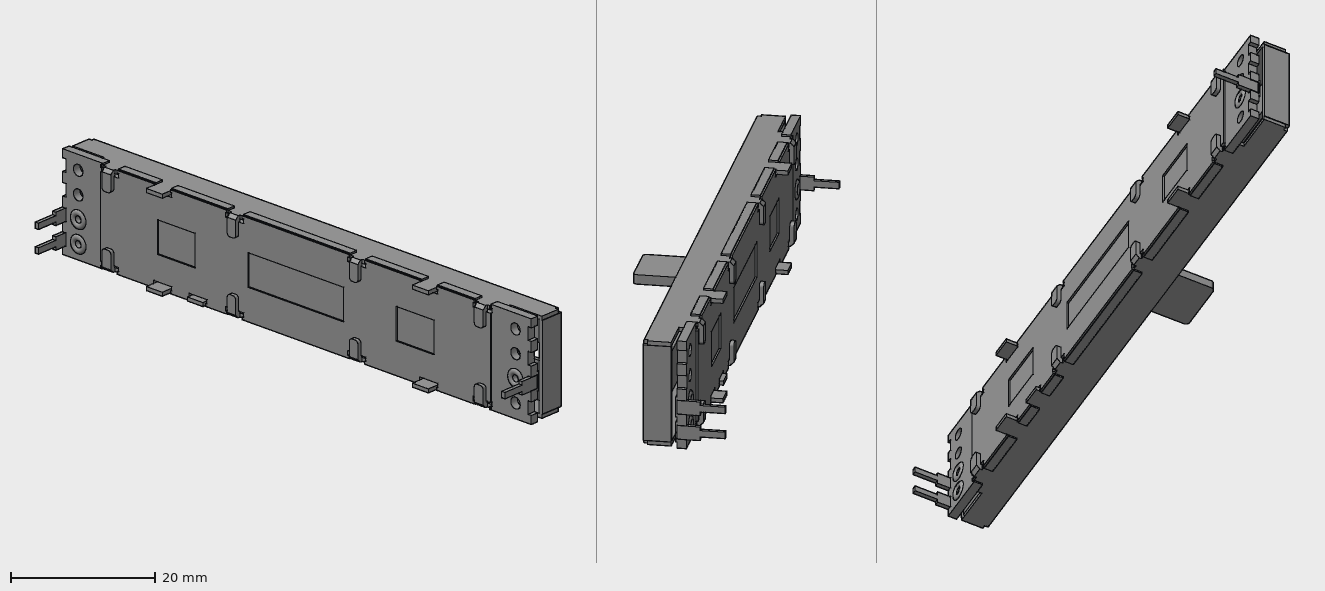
import cadquery as cq


case_length = 88.5
case_height = 15.4
case_back = 6.1
sheet = 0.6
case_edge_radius = 0.3
end_wall_proud = 0.1
end_wall_front = 2.1
side_wall_half_length = 38.2

plate_length = 88.2
plate_height = 15.9
plate_back = 1.3
cover_length = 73.4
cover_height = 15.7
cover_rise = 0.3
window_height = 5.2
windows = [(-22.5, 7.1), (0.0, 18.0), (22.5, 7.1)]

notch_width = 2.9
slot_width = 3.4
slot_inner = 6.7
straight_tab_x = 25.05
straight_tab_width = 3.0
straight_tab_reach = 1.95
short_tab_x = -18.4
short_tab_reach = 0.8
clinch_reach = 0.9
clinch_end = 4.3
clinch_corner_radius = 0.5
clinch_bevel = 0.5
clinches = [(11.5, 1.6), (35.05, 1.7)]

pitch = 3.7
terminal_x = 41.15
hole_diameter = 1.8
rivet_diameter = 2.9
rivet_hole_diameter = 1.1
rivet_hole_depth = 0.9
pin_proud = 0.1
bend_radius = 0.35
pin_width = 2.0
pin_tip_width = 1.0
pin_shoulder = -1.95
pin_tip = -5.5
pad_thickness = 0.2
pad_length = 4.8
pad_height = 3.0

lever_x = 1.7
lever_z = 0.3
lever_width = 8.0
lever_thickness = 1.4
lever_tip = 15.1
lever_tip_radius = 0.6
lever_slot_length = 83.2
lever_slot_height = 2.65
carriage_top = 6.7
carriage_bottom = -6.55
carriage_front = 1.6

wall_outer = case_height / 2
wall_inner = wall_outer - sheet
position_z = [pitch * (i - 1.5) for i in range(4)]
fitted = {-1: position_z[:2], 1: position_z[1:2]}


def strip(x, width, y0, y1, z0, z1):
    """Box centred on x, reaching from y0 to y1 and from z0 to z1."""
    box = cq.Workplane("XY").box(width, y1 - y0, z1 - z0, centered=(True, False, False))
    return box.translate((x, y0, z0))


def on_side(solid, side):
    """Move a solid built on the +Z side to the -Z side when side is -1."""
    return solid if side > 0 else solid.mirror("XY")


def make_case():
    half = case_length / 2
    channel_length = case_length - 2 * end_wall_proud
    case = strip(0, channel_length, plate_back, case_back, -wall_outer, wall_outer)
    case = case.edges("|X and >Y").fillet(case_edge_radius)
    ends = strip(0, case_length, plate_back, case_back, -wall_inner, wall_inner)
    ends = ends.edges("|Z and >Y").fillet(case_edge_radius)
    case = case.union(ends)
    case = case.cut(
        strip(0, case_length - 2 * sheet, plate_back, case_back - sheet, -wall_inner, wall_inner)
    )
    slot_bottom = lever_z - lever_slot_height / 2
    slot_top = lever_z + lever_slot_height / 2
    case = case.cut(
        strip(0, lever_slot_length, case_back - sheet, case_back, slot_bottom, slot_top)
    )
    for end in (-1, 1):
        gap_length = half - side_wall_half_length
        gap_x = end * (side_wall_half_length + gap_length / 2 + sheet)
        case = case.cut(
            strip(gap_x, gap_length + 2 * sheet, plate_back, end_wall_front, -wall_outer, wall_outer)
        )
        for side in (-1, 1):
            relief = strip(
                end * half, 2 * sheet, case_back - sheet, case_back, wall_inner, wall_outer
            )
            case = case.cut(on_side(relief, side))
    return case


def make_plate():
    half_height = plate_height / 2
    plate = strip(0, plate_length, 0, plate_back, -half_height, half_height)
    plate = plate.union(strip(0, cover_length, -cover_rise, 0, -cover_height / 2, cover_height / 2))
    for x, width in windows:
        plate = plate.cut(
            strip(x, width, -cover_rise, 0, -window_height / 2, window_height / 2)
        )
    for end in (-1, 1):
        x = end * terminal_x
        edge = end * plate_length / 2
        for z in position_z:
            plate = plate.cut(
                strip(edge, 2 * sheet, 0, plate_back, z - pin_width / 2, z + pin_width / 2)
            )
            if z not in fitted[end]:
                hole = cq.Workplane("XZ", origin=(x, 0, z)).circle(hole_diameter / 2)
                plate = plate.cut(hole.extrude(-plate_back))
    return plate


def tab_opening(x, side):
    """T-shaped opening in the plate edge that lets a case tab through."""
    slot = strip(x, slot_width, -cover_rise, plate_back, slot_inner, wall_inner + sheet / 2)
    notch = strip(x, notch_width, -cover_rise, plate_back, wall_inner, plate_height / 2)
    return on_side(slot.union(notch), side)


def straight_tab(x, width, reach, side):
    return on_side(strip(x, width, -reach, plate_back, wall_inner, wall_outer), side)


def clinch_tab(x, width, side):
    """Tab that passes through the plate and is folded flat onto the cover."""
    root = strip(x, notch_width, 0, plate_back, wall_inner, wall_outer)
    fold = strip(x, width, -clinch_reach, 0, clinch_end, wall_outer)
    fold = fold.edges("|Y and <Z").fillet(clinch_corner_radius)
    fold = fold.edges("|X and >Z and <Y").chamfer(clinch_bevel)
    return on_side(root.union(fold), side)


def make_rivet(x, z):
    """Rounded ring on the front face of the plate."""
    outer = rivet_diameter / 2
    inner = rivet_hole_diameter / 2
    return (
        cq.Workplane("XY", origin=(x, 0, z))
        .moveTo(outer, 0)
        .threePointArc(((outer + inner) / 2, -cover_rise), (inner, 0))
        .close()
        .revolve(360, (0, 0), (0, 1))
    )


def make_terminal(end, z):
    """Pin, contact pad behind the plate and rivet in front of it."""
    x = end * terminal_x
    edge = end * plate_length / 2
    pin_x = edge + end * (pin_proud - sheet / 2)
    pad_x = edge - end * pad_length / 2
    terminal = strip(pin_x, sheet, pin_shoulder, plate_back, z - pin_width / 2, z + pin_width / 2)
    outer_face = ">X" if end > 0 else "<X"
    terminal = terminal.edges(f"|Z and >Y and {outer_face}").fillet(bend_radius)
    terminal = terminal.union(
        strip(pin_x, sheet, pin_tip, pin_shoulder, z - pin_tip_width / 2, z + pin_tip_width / 2)
    )
    pad = strip(
        pad_x, pad_length, plate_back, plate_back + pad_thickness, z - pad_height / 2, z + pad_height / 2
    )
    return terminal.union(pad).union(make_rivet(x, z))


def rivet_hole(end, z):
    origin = (end * terminal_x, 0, z)
    return cq.Workplane("XZ", origin=origin).circle(rivet_hole_diameter / 2).extrude(-rivet_hole_depth)


def make_lever():
    lever = strip(
        lever_x, lever_width, case_back - sheet, lever_tip,
        lever_z - lever_thickness / 2, lever_z + lever_thickness / 2,
    )
    lever = lever.faces(">Y").edges("|Z").fillet(lever_tip_radius)
    carriage = strip(
        lever_x, lever_width, carriage_front, case_back - sheet, carriage_bottom, carriage_top
    )
    return lever.union(carriage)


plate = make_plate()
tabs = []
for side in (-1, 1):
    for direction in (-1, 1):
        x = direction * straight_tab_x
        plate = plate.cut(tab_opening(x, side))
        tabs.append(straight_tab(x, straight_tab_width, straight_tab_reach, side))
        for distance, width in clinches:
            x = direction * distance
            plate = plate.cut(tab_opening(x, side))
            tabs.append(clinch_tab(x, width, side))
plate = plate.cut(tab_opening(short_tab_x, -1))
tabs.append(straight_tab(short_tab_x, notch_width, short_tab_reach, -1))

result = make_case().union(plate).union(make_lever())
for tab in tabs:
    result = result.union(tab)
for end, heights in fitted.items():
    for z in heights:
        result = result.union(make_terminal(end, z)).cut(rivet_hole(end, z))